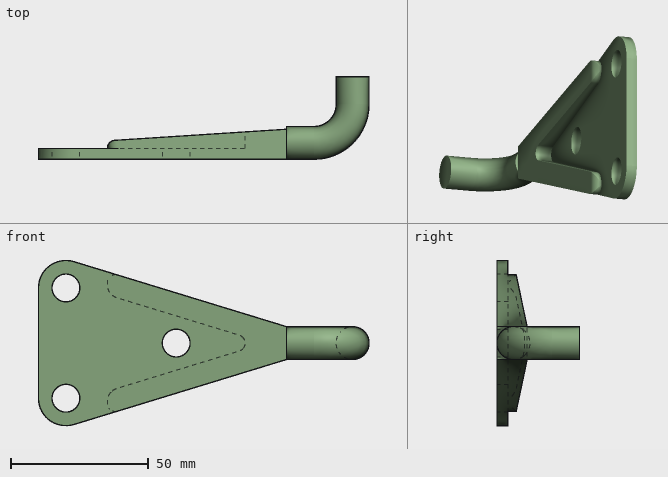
import math

import cadquery as cq

plate_length = 90.0
plate_thickness = 4.0
corner_radius = 10.0
corner_hole_spacing = 40.0
hole_diameter = 10.0
center_hole_x = 50.0

rod_diameter = 12.0
rod_root_length = 10.0
rod_bend_radius = 14.0
rod_tip_length = 10.0

rib_width = 8.0
rib_start_x = 25.0
rib_start_height = 6.8
rib_end_height = 11.0
rib_outer_corner_radius = 3.0
rib_inner_corner_radius = 5.0
rib_top_radius = 3.0
rib_junction_radius = 3.0

rod_radius = rod_diameter / 2
corner_x = corner_radius
corner_z = corner_hole_spacing / 2
half_width = corner_z + corner_radius
corner_to_end_x = plate_length - corner_x
corner_to_end_z = corner_z - rod_radius
corner_to_end = math.hypot(corner_to_end_x, corner_to_end_z)
edge_angle = math.atan2(corner_to_end_z, corner_to_end_x) + math.asin(corner_radius / corner_to_end)
edge_slope = math.tan(edge_angle)


def edge_z(x):
    """Distance of the sloping plate edge from the X axis."""
    return rod_radius + (plate_length - x) * edge_slope


def extrude_along_y(sketch, depth):
    """Extrude a closed XZ outline from Y = 0 towards +Y."""
    return sketch.extrude(-depth)


def make_plate():
    tangent_x = corner_x + corner_radius * math.sin(edge_angle)
    tangent_z = corner_z + corner_radius * math.cos(edge_angle)
    arc_offset = corner_radius * math.sqrt(0.5)
    arc_x = corner_x - arc_offset
    arc_z = corner_z + arc_offset
    outline = (
        cq.Workplane("XZ")
        .moveTo(0, -corner_z)
        .lineTo(0, corner_z)
        .threePointArc((arc_x, arc_z), (tangent_x, tangent_z))
        .lineTo(plate_length, rod_radius)
        .lineTo(plate_length, -rod_radius)
        .lineTo(tangent_x, -tangent_z)
        .threePointArc((arc_x, -arc_z), (0, -corner_z))
        .close()
    )
    return extrude_along_y(outline, plate_thickness)


def round_upright_edges(walls, x, z_values, radius):
    """Fillet the edges parallel to Y that stand at the given X and Z places."""
    for z in z_values:
        nearest = cq.selectors.NearestToPointSelector((x, rib_end_height / 2, z))
        walls = walls.edges("|Y").edges(nearest).fillet(radius)
    return walls


def make_rib_walls():
    """V-shaped prism with rounded free ends and a rounded inner junction."""
    inner_drop = rib_width / math.cos(edge_angle)
    outer_z = edge_z(rib_start_x)
    inner_z = outer_z - inner_drop
    junction_x = plate_length - (inner_drop - rod_radius) / edge_slope
    outline = cq.Workplane("XZ").polyline([
        (rib_start_x, outer_z),
        (plate_length, rod_radius),
        (plate_length, -rod_radius),
        (rib_start_x, -outer_z),
        (rib_start_x, -inner_z),
        (junction_x, 0),
        (rib_start_x, inner_z),
    ]).close()
    walls = extrude_along_y(outline, rib_end_height)

    walls = round_upright_edges(walls, rib_start_x, (outer_z, -outer_z), rib_outer_corner_radius)
    walls = round_upright_edges(walls, rib_start_x, (inner_z, -inner_z), rib_inner_corner_radius)
    return round_upright_edges(walls, junction_x, (0,), rib_junction_radius)


def make_rib_envelope():
    """Side profile of the ribs: a rising top that rounds over at the start."""
    start_edge = cq.selectors.NearestToPointSelector((rib_start_x, rib_start_height, 0))
    return (
        cq.Workplane("XY")
        .polyline([
            (rib_start_x, 0),
            (plate_length, 0),
            (plate_length, rib_end_height),
            (rib_start_x, rib_start_height),
        ])
        .close()
        .extrude(half_width, both=True)
        .edges("|Z")
        .edges(start_edge)
        .fillet(rib_top_radius)
    )


def make_rod():
    bend_start_x = plate_length + rod_root_length
    bend_end_x = bend_start_x + rod_bend_radius
    bend_end_y = rod_radius + rod_bend_radius
    path = (
        cq.Workplane("XY")
        .moveTo(plate_length, rod_radius)
        .lineTo(bend_start_x, rod_radius)
        .radiusArc((bend_end_x, bend_end_y), -rod_bend_radius)
        .lineTo(bend_end_x, bend_end_y + rod_tip_length)
    )
    section = cq.Workplane("YZ", origin=(plate_length, rod_radius, 0)).circle(rod_radius)
    return section.sweep(path)


def make_holes():
    centers = [(corner_x, corner_z), (corner_x, -corner_z), (center_hole_x, 0)]
    circles = cq.Workplane("XZ").pushPoints(centers).circle(hole_diameter / 2)
    return extrude_along_y(circles, plate_thickness)


ribs = make_rib_walls().intersect(make_rib_envelope())
result = make_plate().union(ribs).union(make_rod()).cut(make_holes())